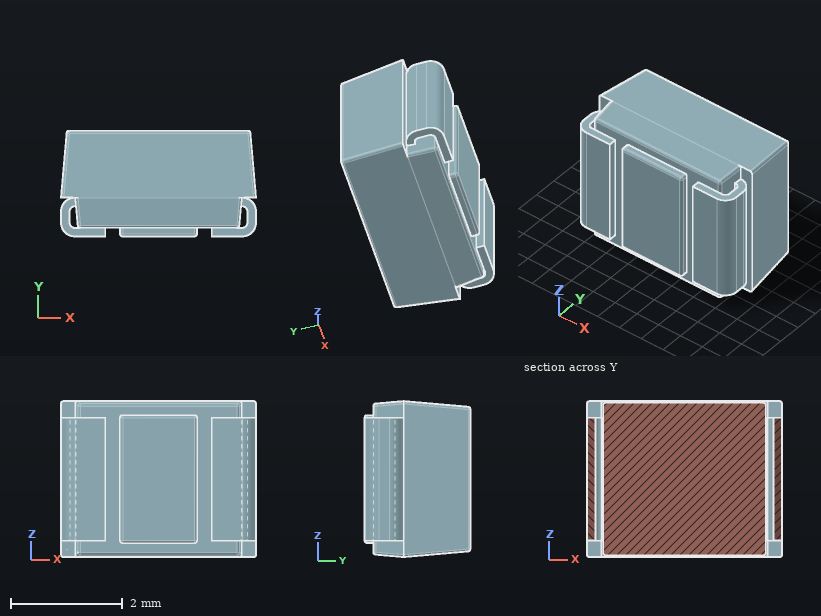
import cadquery as cq
import math

length = 3.5
depth = 1.9
height = 2.8
parting_y = 0.7
draft = 5.0
edge_radius = 0.05

lead_thickness = 0.158
lead_bend_radius = 0.252
lead_foot = 0.798
lead_height = 2.205

front_length = 2.99
pad_length = 1.382
pad_height = 2.295
front_y = lead_thickness


def drafted_half(size_x, end_y):
    """Block on the parting plane, tapering to end_y with rounded edges."""
    run = abs(end_y - parting_y)
    inset = run * math.tan(math.radians(draft))
    toward_end = math.copysign(1, parting_y - end_y)
    block = (
        cq.Workplane("XZ", origin=(0, parting_y, 0))
        .rect(size_x, height)
        .workplane(offset=toward_end * run)
        .rect(size_x - 2 * inset, height - 2 * inset)
        .loft(ruled=True)
    )
    parting_face = ">Y" if end_y < parting_y else "<Y"
    edges = block.edges().objects
    sharp = block.faces(parting_face).edges().objects
    rounded = [e for e in edges if not any(e.isSame(s) for s in sharp)]
    return block.newObject(rounded).fillet(edge_radius)


def make_pad():
    """Raised pad standing on the front face, flush with the lead feet."""
    pad = cq.Workplane("XZ", origin=(0, front_y, 0)).rect(pad_length, pad_height).extrude(front_y)
    return pad.edges("|Y").fillet(edge_radius).faces("<Y").edges().fillet(edge_radius)


def make_housing():
    back_half = drafted_half(length, depth)
    front_half = drafted_half(front_length, front_y)
    return back_half.union(front_half).union(make_pad())


def make_lead(side, housing):
    """C-shaped strip at one end: side is -1 for -X and +1 for +X."""
    outer_x = length / 2
    bend_x = outer_x - lead_bend_radius
    inner_x = outer_x - lead_thickness
    foot_x = outer_x - lead_foot
    inner_radius = lead_bend_radius - lead_thickness
    far_bend_y = parting_y - lead_bend_radius
    outer_mid = lead_bend_radius * math.sqrt(0.5)
    inner_mid = inner_radius * math.sqrt(0.5)
    arm_x = front_length / 2 - lead_thickness * math.tan(math.radians(draft))

    def at(x, y):
        return side * x, y

    strip = (
        cq.Workplane("XY", origin=(0, 0, -lead_height / 2))
        .moveTo(*at(foot_x, 0))
        .lineTo(*at(bend_x, 0))
        .threePointArc(at(bend_x + outer_mid, lead_bend_radius - outer_mid), at(outer_x, lead_bend_radius))
        .lineTo(*at(outer_x, far_bend_y))
        .threePointArc(at(bend_x + outer_mid, far_bend_y + outer_mid), at(bend_x, parting_y))
        .lineTo(*at(arm_x, parting_y))
        .lineTo(*at(arm_x, parting_y - lead_thickness))
        .lineTo(*at(bend_x, parting_y - lead_thickness))
        .threePointArc(at(bend_x + inner_mid, far_bend_y + inner_mid), at(inner_x, far_bend_y))
        .lineTo(*at(inner_x, lead_bend_radius))
        .threePointArc(at(bend_x + inner_mid, lead_bend_radius - inner_mid), at(bend_x, lead_thickness))
        .lineTo(*at(foot_x, lead_thickness))
        .close()
        .extrude(lead_height)
    )
    return strip.cut(housing)


housing = make_housing()
leads = [make_lead(side, housing) for side in (-1, 1)]

result = cq.Compound.makeCompound([housing.solids().val(), *[lead.solids().val() for lead in leads]])